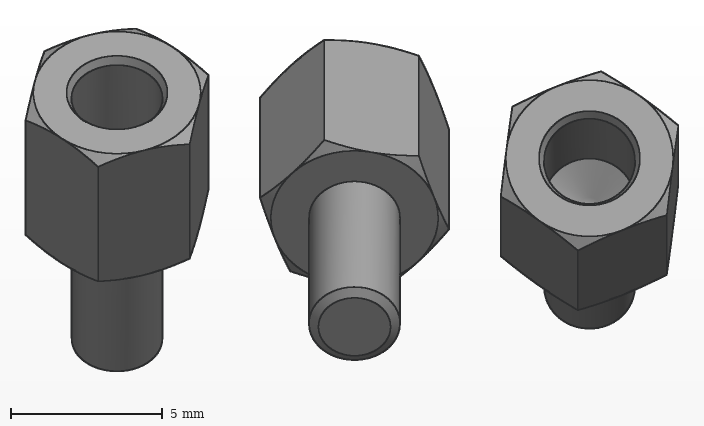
import cadquery as cq
import math

total_length = 12.0
hex_height = 6.0
across_flats = 5.51
hex_chamfer_angle = 30.0
stud_diameter = 3.0
tip_chamfer_height = 0.18
tip_chamfer_width = 0.31
hole_diameter = 3.0
hole_mouth_diameter = 3.32
mouth_chamfer_height = 0.28
hole_depth = 3.96
drill_point_angle = 120.0

flat_radius = across_flats / 2
across_corners = across_flats / math.cos(math.radians(30))
corner_radius = across_corners / 2
hex_chamfer_drop = (corner_radius - flat_radius) * math.tan(math.radians(hex_chamfer_angle))
stud_length = total_length - hex_height
stud_radius = stud_diameter / 2
hole_radius = hole_diameter / 2
drill_point_height = hole_radius / math.tan(math.radians(drill_point_angle / 2))


def revolve_profile(points):
    """Revolve a closed (radius, height) outline around the Z axis."""
    return cq.Workplane("XZ").polyline(points).close().revolve(360, (0, 0), (0, 1))


def make_hex_body():
    """Hexagon with corners on the X axis, its ends chamfered by cones."""
    prism = cq.Workplane("XY").polygon(6, across_corners).extrude(hex_height)
    chamfer_envelope = revolve_profile([
        (0, 0),
        (flat_radius, 0),
        (corner_radius, hex_chamfer_drop),
        (corner_radius, hex_height - hex_chamfer_drop),
        (flat_radius, hex_height),
        (0, hex_height),
    ])
    return prism.intersect(chamfer_envelope)


def make_stud():
    """Round stud below the hexagon, with a chamfered tip."""
    return revolve_profile([
        (0, 0),
        (stud_radius, 0),
        (stud_radius, tip_chamfer_height - stud_length),
        (stud_radius - tip_chamfer_width, -stud_length),
        (0, -stud_length),
    ])


def make_hole():
    """Blind hole from the top, with a chamfered mouth and a conical drill point."""
    wall_bottom = hex_height - hole_depth
    return revolve_profile([
        (0, hex_height),
        (hole_mouth_diameter / 2, hex_height),
        (hole_radius, hex_height - mouth_chamfer_height),
        (hole_radius, wall_bottom),
        (0, wall_bottom - drill_point_height),
    ])


result = make_hex_body().union(make_stud()).cut(make_hole())